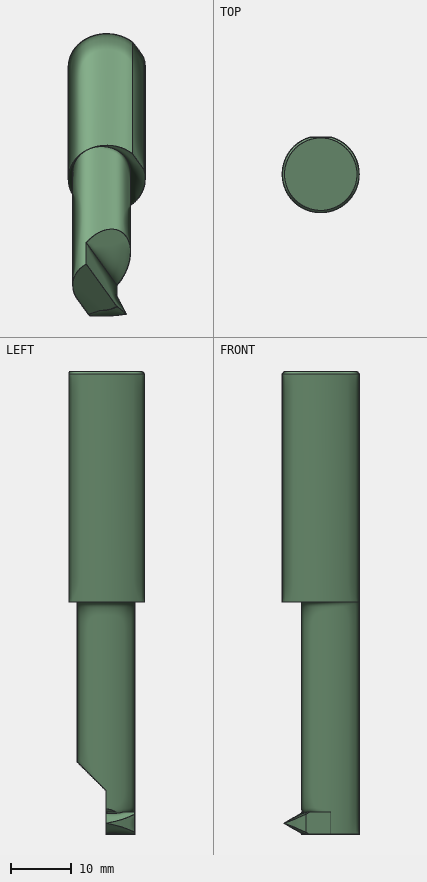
import cadquery as cq
import math

shank_diameter = 12.7
shank_radius = shank_diameter / 2
overall_length = 76.2
shank_bottom = 38.25
shank_chamfer = 0.38
flat_depth = 0.25

neck_diameter = 9.525
neck_radius = neck_diameter / 2
neck_center_x = shank_radius - neck_radius
neck_left = neck_center_x - neck_radius

rake_top = 7.2
runout_angle = 45

point_angle = 60
point_x = -6.05
head_height = 3.66
point_run = head_height / 2 / math.tan(math.radians(point_angle / 2))
point_base_x = point_x + point_run
relief_angle = 7
flank_end_x = -2.4
flank_bulge = 0.3

undercut_run = point_base_x - neck_left
undercut_rise = undercut_run / math.tan(math.radians(point_angle / 2))


def make_shank():
    length = overall_length - shank_bottom
    shank = cq.Workplane("XY").workplane(offset=shank_bottom).circle(shank_radius).extrude(length)
    shank = shank.faces(">Z").chamfer(shank_chamfer)
    flat = cq.Workplane("XY").box(shank_diameter, flat_depth, length, centered=(True, False, False))
    return shank.cut(flat.translate((0, shank_radius - flat_depth, shank_bottom)))


def make_neck():
    neck = cq.Workplane("XY").center(neck_center_x, 0).circle(neck_radius).extrude(shank_bottom)
    runout_height = neck_radius * math.tan(math.radians(runout_angle))
    rake_cut = (
        cq.Workplane("YZ")
        .moveTo(0, 0)
        .lineTo(0, rake_top)
        .lineTo(neck_radius, rake_top + runout_height)
        .lineTo(neck_radius, 0)
        .close()
        .extrude(shank_diameter, both=True)
    )
    undercut = (
        cq.Workplane("XZ")
        .moveTo(neck_left, head_height)
        .lineTo(neck_left, head_height + undercut_rise)
        .lineTo(point_base_x, head_height)
        .close()
        .extrude(neck_radius)
    )
    return neck.cut(rake_cut).cut(undercut)


def draw_point(plane, tip_x):
    """Side outline of the point, from its tip to the middle of the neck."""
    return (
        plane.moveTo(tip_x, head_height / 2)
        .lineTo(tip_x + point_run, head_height)
        .lineTo(neck_center_x, head_height)
        .lineTo(neck_center_x, 0)
        .lineTo(tip_x + point_run, 0)
        .close()
    )


def make_head():
    face_drop = neck_radius * math.tan(math.radians(relief_angle))
    tip_shift = face_drop / math.tan(math.radians(point_angle / 2))
    wedge = draw_point(cq.Workplane("XZ"), point_x)
    wedge = draw_point(wedge.workplane(offset=neck_radius), point_x + tip_shift).loft(ruled=True)

    flank_run = flank_end_x - point_x
    flank_length = math.hypot(flank_run, neck_radius)
    flank_middle = (
        (point_x + flank_end_x) / 2 - flank_bulge * neck_radius / flank_length,
        -neck_radius / 2 - flank_bulge * flank_run / flank_length,
    )
    plan = (
        cq.Workplane("XY")
        .moveTo(point_x, 0)
        .threePointArc(flank_middle, (flank_end_x, -neck_radius))
        .lineTo(neck_center_x, -neck_radius)
        .lineTo(neck_center_x, 0)
        .close()
        .extrude(head_height)
    )
    return wedge.intersect(plan)


result = make_shank().union(make_neck()).union(make_head())